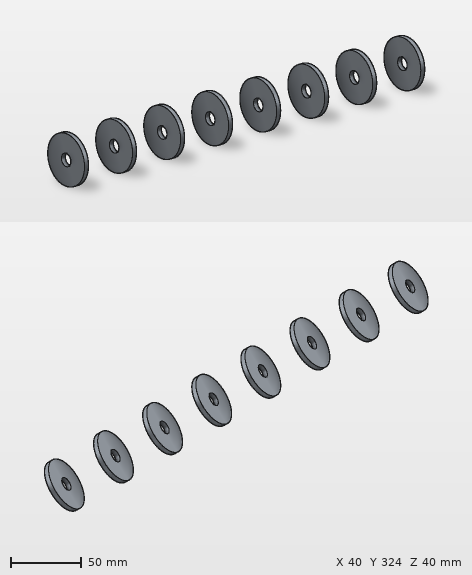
import cadquery as cq

row_length = 324.0
washer_count = 8
outer_diameter = 40.0
bore_diameter = 10.0
thickness = 4.0

pitch = (row_length - thickness) / (washer_count - 1)


def make_washer(front_y):
    """Flat washer reaching from front_y toward +Y."""
    return (
        cq.Workplane("XZ", origin=(0, front_y, 0))
        .circle(outer_diameter / 2)
        .circle(bore_diameter / 2)
        .extrude(-thickness)
    )


washers = [make_washer(-row_length / 2 + index * pitch) for index in range(washer_count)]

result = cq.Compound.makeCompound([washer.val() for washer in washers])